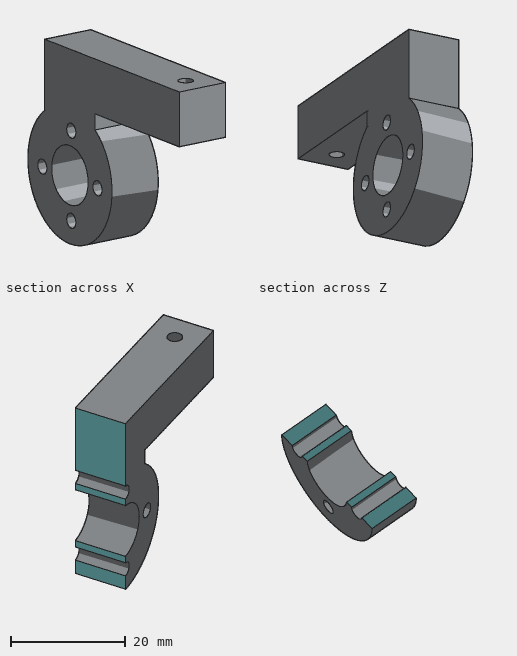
import cadquery as cq

total_length = 44.95
total_height = 35.45
thickness = 10.0

hub_radius = 12.5
bore_diameter = 10.8

neck_width = 15.0
arm_length = 40.02
arm_height = 10.0
arm_right = total_length - hub_radius
arm_left = arm_right - arm_length
arm_top = total_height - hub_radius
arm_bottom = arm_top - arm_height

small_hole_diameter = 2.7
bolt_radius = 8.2
bolt_offset = 0.4
arm_hole_inset = 5.0


def plate_block(left, right, bottom, top):
    """Full-thickness rectangular block centred on Y = 0."""
    width = right - left
    height = top - bottom
    block = cq.Workplane("XY").box(width, thickness, height)
    return block.translate(((left + right) / 2, 0, (bottom + top) / 2))


def cylinder_along_y(diameter, x=0, z=0):
    """Full-thickness cylinder centred on Y = 0."""
    profile = cq.Workplane("XZ", origin=(x, thickness / 2, z)).circle(diameter / 2)
    return profile.extrude(thickness)


hub = cylinder_along_y(2 * hub_radius)
neck = plate_block(arm_left, arm_left + neck_width, 0, arm_top)
arm = plate_block(arm_left, arm_right, arm_bottom, arm_top)
body = hub.union(neck).union(arm)

body = body.cut(cylinder_along_y(bore_diameter))
bolt_positions = [
    (bolt_offset, bolt_radius),
    (bolt_offset, -bolt_radius),
    (bolt_radius, -bolt_offset),
    (-bolt_radius, -bolt_offset),
]
for x, z in bolt_positions:
    body = body.cut(cylinder_along_y(small_hole_diameter, x, z))

arm_hole = (
    cq.Workplane("XY", origin=(arm_right - arm_hole_inset, 0, arm_bottom))
    .circle(small_hole_diameter / 2)
    .extrude(arm_height)
)

result = body.cut(arm_hole)